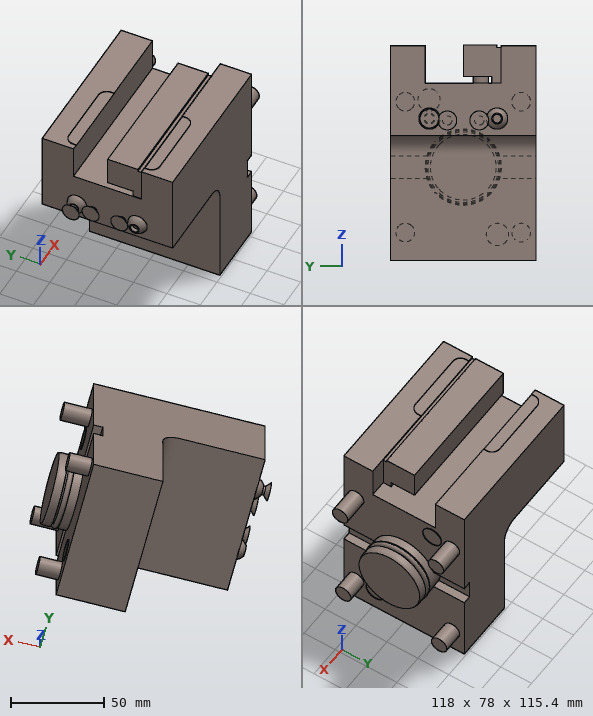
import cadquery as cq
import math

LENGTH = 95.0
WIDTH = 78.0
HEIGHT = 115.0
ARM_THICKNESS = 48.0
COLUMN_THICKNESS = 38.3
INNER_CORNER_RADIUS = 9.5

SLOT_WIDTH = 40.5
SLOT_DEPTH = 20.0
SLOT_FLOOR_Z = HEIGHT - SLOT_DEPTH

RECESS_START_X = 3.5
RECESS_LENGTH = 45.5
RECESS_WIDTH = 54.5
RECESS_RADIUS = 5.0
RECESS_DEPTH = 0.3

BAR_START_X = 0.4
BAR_END_X = 85.0
BAR_WIDTH = SLOT_WIDTH / 2
BAR_RISE = 0.42
BAR_GAP = 3.4
FOOT_WIDTH = 5.1
BAR_GROOVE_WIDTH = 2.2
BAR_GROOVE_DEPTH = 1.3
BAR_PIN_DIAMETER = 8.3
BAR_PIN_Y = -9.4

KEYWAY_WIDTH = 12.0
KEYWAY_DEPTH = 5.0

SPIGOT_Z = 50.0
SPIGOT_RADIUS = 20.0
SPIGOT_LENGTH = 14.0
SPIGOT_CHAMFER_LENGTH = 1.4
SPIGOT_CHAMFER_DEPTH = 0.4
GROOVE_START = 4.9
GROOVE_WIDTH = 4.0
GROOVE_DEPTH = 2.4
SEAL_SECTION_RADIUS = 1.5
SEAL_RISE = 0.4

PIN_DIAMETER = 10.0
PIN_Y = 31.0
UPPER_PIN_Z = 85.0
LOWER_PIN_Z = 15.0
UPPER_PIN_LENGTH = 15.3
LOWER_PIN_LENGTH = 12.3

COOLANT_SEAL_DIAMETER = 12.0
COOLANT_SEAL_RISE = 0.4
COOLANT_SEAL_Y = 18.3
COOLANT_SEAL_OFFSET_Z = 36.0

NOZZLE_Y = 18.1
NOZZLE_Z = 76.0
NOZZLE_BASE_RADIUS = 5.7
NOZZLE_TIP_RADIUS = 2.9
NOZZLE_HEIGHT = 4.0
NOZZLE_BULGE = 0.6
NOZZLE_BORE_RADIUS = 2.3
NOZZLE_BORE_DEPTH = 2.5

PLUG_HEAD_RADIUS = 5.05
PLUG_SHANK_RADIUS = 2.5
PLUG_CONE_LENGTH = PLUG_HEAD_RADIUS - PLUG_SHANK_RADIUS
NOZZLE_PLUG_REACH = 7.75
FACE_PLUG_REACH = 3.0
FACE_PLUG_Y = 8.55
FACE_PLUG_Z = 75.0
PLUG_EMBED = 1.0


def block(x_range, y_range, z_range):
    """Box between the given limits on each axis."""
    size = [limits[1] - limits[0] for limits in (x_range, y_range, z_range)]
    corner = (x_range[0], y_range[0], z_range[0])
    return cq.Workplane("XY").box(*size, centered=False).translate(corner)


def rod(start_x, end_x, y, z, radius):
    """Cylinder along X."""
    return cq.Workplane("YZ", origin=(start_x, y, z)).circle(radius).extrude(end_x - start_x)


def turn_about_x(profile, y, z):
    """Revolve a profile, drawn as (x, radius) in XY, about the line through (y, z) along X."""
    return profile.revolve(360, (0, 0, 0), (1, 0, 0)).translate((0, y, z))


def make_body():
    step_x = LENGTH - COLUMN_THICKNESS
    arm_z = HEIGHT - ARM_THICKNESS
    body = (
        cq.Workplane("XZ", origin=(0, WIDTH / 2, 0))
        .moveTo(0, HEIGHT)
        .lineTo(LENGTH, HEIGHT)
        .lineTo(LENGTH, 0)
        .lineTo(step_x, 0)
        .lineTo(step_x, arm_z - INNER_CORNER_RADIUS)
        .radiusArc((step_x - INNER_CORNER_RADIUS, arm_z), -INNER_CORNER_RADIUS)
        .lineTo(0, arm_z)
        .close()
        .extrude(WIDTH)
    )
    half_slot = SLOT_WIDTH / 2
    slot = block((0, LENGTH), (-half_slot, half_slot), (SLOT_FLOOR_Z, HEIGHT))
    half_key = KEYWAY_WIDTH / 2
    keyway = block(
        (LENGTH - KEYWAY_DEPTH, LENGTH),
        (-WIDTH / 2, WIDTH / 2),
        (SPIGOT_Z - half_key, SPIGOT_Z + half_key),
    )
    recess = block(
        (RECESS_START_X, RECESS_START_X + RECESS_LENGTH),
        (-RECESS_WIDTH / 2, RECESS_WIDTH / 2),
        (HEIGHT - RECESS_DEPTH, HEIGHT),
    ).edges("|Z").fillet(RECESS_RADIUS)
    return body.cut(slot).cut(keyway).cut(recess)


def make_clamping_bar():
    x_range = (BAR_START_X, BAR_END_X)
    wall_y = -SLOT_WIDTH / 2
    top_z = HEIGHT + BAR_RISE
    underside_z = SLOT_FLOOR_Z + BAR_GAP
    bar = block(x_range, (wall_y, wall_y + BAR_WIDTH), (underside_z, top_z))
    foot = block(x_range, (wall_y, wall_y + FOOT_WIDTH), (SLOT_FLOOR_Z, underside_z))
    groove = block(x_range, (wall_y, wall_y + BAR_GROOVE_WIDTH), (top_z - BAR_GROOVE_DEPTH, top_z))
    pin_x = (BAR_START_X + BAR_END_X) / 2
    pin = (
        cq.Workplane("XY", origin=(pin_x, BAR_PIN_Y, SLOT_FLOOR_Z))
        .circle(BAR_PIN_DIAMETER / 2)
        .extrude(BAR_GAP)
    )
    return bar.union(foot).cut(groove).union(pin)


def make_spigot():
    end_x = LENGTH + SPIGOT_LENGTH
    groove_x = LENGTH + GROOVE_START
    groove_end_x = groove_x + GROOVE_WIDTH
    groove_radius = SPIGOT_RADIUS - GROOVE_DEPTH
    profile = (
        cq.Workplane("XY")
        .moveTo(LENGTH - KEYWAY_DEPTH, 0)
        .lineTo(LENGTH - KEYWAY_DEPTH, SPIGOT_RADIUS)
        .lineTo(groove_x, SPIGOT_RADIUS)
        .lineTo(groove_x, groove_radius)
        .lineTo(groove_end_x, groove_radius)
        .lineTo(groove_end_x, SPIGOT_RADIUS)
        .lineTo(end_x - SPIGOT_CHAMFER_LENGTH, SPIGOT_RADIUS)
        .lineTo(end_x, SPIGOT_RADIUS - SPIGOT_CHAMFER_DEPTH)
        .lineTo(end_x, 0)
        .close()
    )
    seal_radius = SPIGOT_RADIUS + SEAL_RISE - SEAL_SECTION_RADIUS
    seal = (
        cq.Workplane("XY")
        .center(groove_x + SEAL_SECTION_RADIUS, seal_radius)
        .circle(SEAL_SECTION_RADIUS)
        .revolve(360, (0, -seal_radius, 0), (1, -seal_radius, 0))
        .translate((0, 0, SPIGOT_Z))
    )
    return turn_about_x(profile, 0, SPIGOT_Z).union(seal)


def make_nozzle(y):
    """Domed head on the front face with a blind bore in its tip."""
    taper = NOZZLE_BASE_RADIUS - NOZZLE_TIP_RADIUS
    flank = math.hypot(NOZZLE_HEIGHT, taper)
    middle_x = -NOZZLE_HEIGHT / 2 - NOZZLE_BULGE * taper / flank
    middle_radius = NOZZLE_BASE_RADIUS - taper / 2 + NOZZLE_BULGE * NOZZLE_HEIGHT / flank
    bore_floor_x = NOZZLE_BORE_DEPTH - NOZZLE_HEIGHT
    profile = (
        cq.Workplane("XY")
        .moveTo(0, 0)
        .lineTo(0, NOZZLE_BASE_RADIUS)
        .threePointArc((middle_x, middle_radius), (-NOZZLE_HEIGHT, NOZZLE_TIP_RADIUS))
        .lineTo(-NOZZLE_HEIGHT, NOZZLE_BORE_RADIUS)
        .lineTo(bore_floor_x, NOZZLE_BORE_RADIUS)
        .lineTo(bore_floor_x, 0)
        .close()
    )
    return turn_about_x(profile, y, NOZZLE_Z)


def make_plug(reach, y, z):
    """Countersunk plug whose flat head stands `reach` in front of the front face."""
    cone_end_x = PLUG_CONE_LENGTH - reach
    profile = (
        cq.Workplane("XY")
        .moveTo(-reach, 0)
        .lineTo(-reach, PLUG_HEAD_RADIUS)
        .lineTo(cone_end_x, PLUG_SHANK_RADIUS)
        .lineTo(PLUG_EMBED, PLUG_SHANK_RADIUS)
        .lineTo(PLUG_EMBED, 0)
        .close()
    )
    return turn_about_x(profile, y, z)


def add_rear_fittings(part):
    part = part.union(make_spigot())
    for y in (-PIN_Y, PIN_Y):
        for z, length in ((UPPER_PIN_Z, UPPER_PIN_LENGTH), (LOWER_PIN_Z, LOWER_PIN_LENGTH)):
            part = part.union(rod(LENGTH, LENGTH + length, y, z, PIN_DIAMETER / 2))
    for side in (-1, 1):
        seal = rod(
            LENGTH,
            LENGTH + COOLANT_SEAL_RISE,
            side * COOLANT_SEAL_Y,
            SPIGOT_Z + side * COOLANT_SEAL_OFFSET_Z,
            COOLANT_SEAL_DIAMETER / 2,
        )
        part = part.union(seal)
    return part


def add_front_fittings(part):
    for side in (-1, 1):
        part = part.union(make_nozzle(side * NOZZLE_Y))
        part = part.union(make_plug(FACE_PLUG_REACH, side * FACE_PLUG_Y, FACE_PLUG_Z))
    return part.union(make_plug(NOZZLE_PLUG_REACH, NOZZLE_Y, NOZZLE_Z))


result = add_front_fittings(add_rear_fittings(make_body().union(make_clamping_bar())))